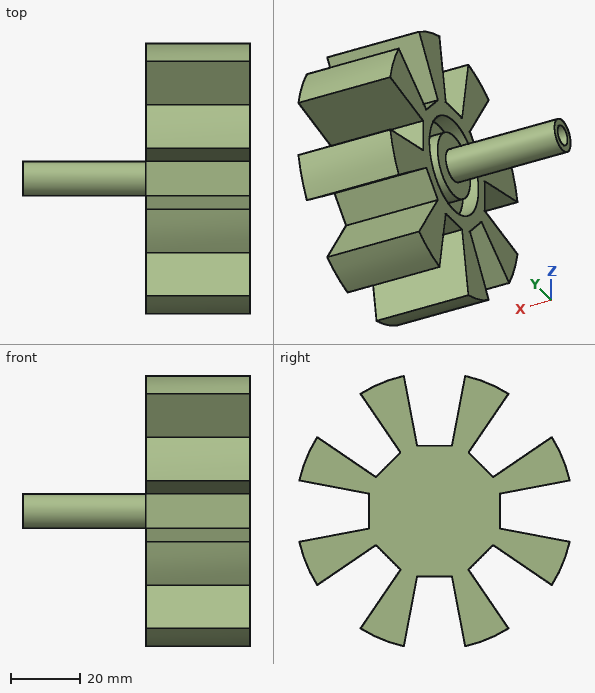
import cadquery as cq
import math

outer_span = 78.0
total_length = 65.5
rotor_length = 30.0

tooth_count = 8
slot_floor_width = 10.0
slot_mouth_width = 17.6
slot_floor_distance = 18.9

recess_diameter = 30.0
recess_depth = 5.0
hub_diameter = 20.0
shaft_diameter = 10.0
bore_diameter = 6.0

mouth_distance = outer_span / 2
rotor_radius = math.hypot(mouth_distance, slot_mouth_width / 2)
shaft_length = total_length - rotor_length


def make_slot(angle):
    """Wedge-shaped cutter for one slot, its sides continued past the rim."""
    flare = (slot_mouth_width - slot_floor_width) / 2 / (mouth_distance - slot_floor_distance)
    cut_distance = outer_span * 0.6
    floor_half = slot_floor_width / 2
    cut_half = floor_half + flare * (cut_distance - slot_floor_distance)
    return (
        cq.Workplane("YZ")
        .polyline([
            (-floor_half, slot_floor_distance),
            (floor_half, slot_floor_distance),
            (cut_half, cut_distance),
            (-cut_half, cut_distance),
        ])
        .close()
        .extrude(rotor_length)
        .rotate((0, 0, 0), (1, 0, 0), angle)
    )


def make_rotor():
    """Toothed rotor from X = 0, with an annular recess leaving a flush hub."""
    rotor = cq.Workplane("YZ").circle(rotor_radius).extrude(rotor_length)
    for index in range(tooth_count):
        rotor = rotor.cut(make_slot(index * 360 / tooth_count))
    recess = (
        cq.Workplane("YZ")
        .circle(recess_diameter / 2)
        .circle(hub_diameter / 2)
        .extrude(recess_depth)
    )
    return rotor.cut(recess)


def make_shaft():
    """Hollow shaft whose end rests on the hub face at X = 0."""
    return (
        cq.Workplane("YZ")
        .circle(shaft_diameter / 2)
        .circle(bore_diameter / 2)
        .extrude(-shaft_length)
    )


rotor = make_rotor()
shaft = make_shaft()

result = cq.Compound.makeCompound([rotor.val(), shaft.val()])